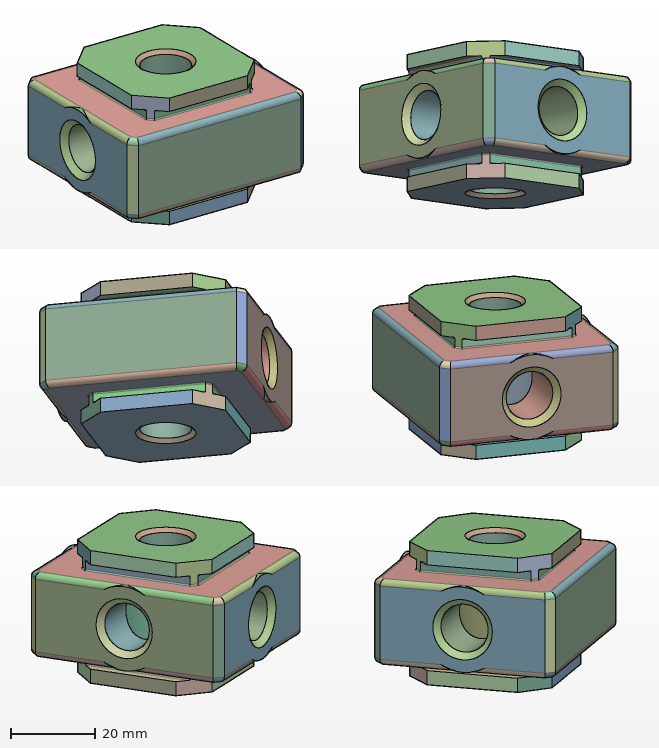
import cadquery as cq

block_x = 45.05
block_y = 50.9
block_z = 21.0
corner_chamfer = 2.0
rim_fillet = 1.5
pad_diameter = 20.95

total_z = 33.0
plate_side = 35.45
plate_corner = 6.45
plate_thickness = 3.5
neck_side = 30.4
neck_fillet = 0.3
neck_height = (total_z - block_z) / 2 - plate_thickness
neck_base_z = block_z / 2
neck_top_z = neck_base_z + neck_height

vertical_bore = 12.35
vertical_countersink = 14.35
vertical_countersink_depth = (vertical_countersink - vertical_bore) / 2

side_bore = 11.75
side_countersink = 14.8
side_countersink_depth = (side_countersink - side_bore) / 2
core_diameter = 22.4

bored_sides = [
    ((-1, 0, 0), block_x / 2),
    ((0, -1, 0), block_y / 2),
    ((0, 1, 0), block_y / 2),
]


def make_block():
    """Block with chamfered corners and rounded top and bottom rims."""
    block = cq.Workplane("XY").box(block_x, block_y, block_z)
    block = block.edges("|Z").chamfer(corner_chamfer)
    return block.faces("<Z or >Z").edges().fillet(rim_fillet)


def side_cylinder(direction, diameter, face_distance):
    """Horizontal cylinder from the block centre out to a side face."""
    base = cq.Plane(origin=(0, 0, 0), normal=direction)
    return cq.Workplane(base).circle(diameter / 2).extrude(face_distance)


def side_bore_tool(direction, face_distance):
    """Countersunk side bore whose floor is the rounded wall of the core."""
    bore = side_cylinder(direction, side_bore, face_distance)
    face_plane = cq.Plane(origin=(0, 0, 0), normal=direction)
    countersink = (
        cq.Workplane(face_plane)
        .workplane(offset=face_distance)
        .circle(side_countersink / 2)
        .workplane(offset=-side_countersink_depth)
        .circle(side_bore / 2)
        .loft()
    )
    core = cq.Workplane("XY").cylinder(block_z, core_diameter / 2)
    return bore.union(countersink).cut(core)


def neck_ring(z):
    """Selector for the edges around the neck at height z."""
    reach = neck_side / 2 + neck_fillet
    lower_corner = (-reach, -reach, z - neck_fillet / 2)
    upper_corner = (reach, reach, z + neck_fillet / 2)
    return cq.selectors.BoxSelector(lower_corner, upper_corner)


def make_upper_plate():
    """Plate and neck above the block, cut to one common octagonal outline."""
    base = cq.Workplane("XY").workplane(offset=neck_base_z)
    neck = base.rect(neck_side, neck_side).extrude(neck_height)
    plate = neck.faces(">Z").workplane().rect(plate_side, plate_side).extrude(plate_thickness)
    plate = plate.edges(neck_ring(neck_top_z)).fillet(neck_fillet)
    octagon = base.rect(plate_side, plate_side).extrude(neck_height + plate_thickness)
    octagon = octagon.edges("|Z").chamfer(plate_corner)
    return plate.intersect(octagon)


body = make_block()

for direction, face_distance in bored_sides:
    body = body.union(side_cylinder(direction, pad_diameter, face_distance))

upper_plate = make_upper_plate()
body = body.union(upper_plate).union(upper_plate.mirror("XY"))
for z in (-neck_base_z, neck_base_z):
    body = body.edges(neck_ring(z)).fillet(neck_fillet)

for direction, face_distance in bored_sides:
    body = body.cut(side_bore_tool(direction, face_distance))

body = body.cut(cq.Workplane("XY").cylinder(total_z, vertical_bore / 2))
body = body.faces("<Z or >Z").edges("%CIRCLE").chamfer(vertical_countersink_depth)

result = body